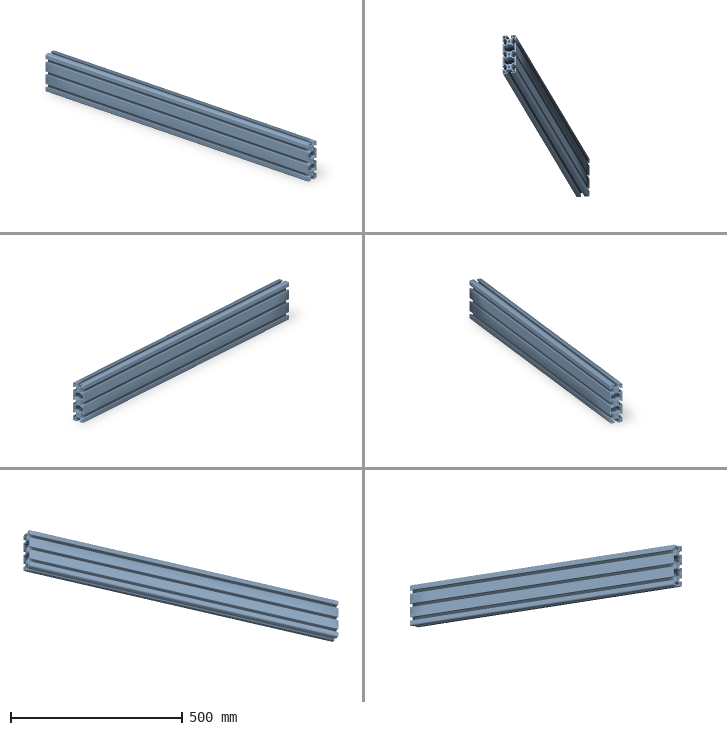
import cadquery as cq

length = 1000.0
module = 40.0
module_count = 3
outer_radius = 4.5

slot_opening = 10.0
slot_inner_width = 20.0
slot_depth = 12.25
lip_thickness = 4.5
lip_nose_width = 1.5
lip_root_thickness = 2.5
lip_radius = 0.5
floor_corner_radius = 1.2
shoulder_radius = 1.0
core_hole_diameter = 6.8

rib_thickness = 3.0
side_wall = 3.4
slot_wall = 2.5
cavity_core_half = 9.0
cavity_core_face_half = 6.0
cavity_rib_run = 4.6
corner_wall = 1.8
corner_hollow_radius = 1.7
corner_hollow_size = 6.7
corner_hollow_bevel = 2.5

half = module / 2
height = module * module_count
core_half = half - slot_depth
opening_half = slot_opening / 2
inner_half = slot_inner_width / 2
rib_offset = rib_thickness / 2 ** 0.5
core_face_half = core_half - rib_offset
shoulder = inner_half + rib_offset
nose_underside = half - lip_thickness
lip_nose_half = opening_half + lip_nose_width
module_centres = [(i - (module_count - 1) / 2) * module for i in range(module_count)]

end_margin = 1.0
selection_band = 0.01
section_plane = cq.Workplane("YZ", origin=(-length / 2 - end_margin, 0, 0))
cut_length = length + 2 * end_margin
x_axis = ((0, 0, 0), (1, 0, 0))


def make_bar():
    bar = cq.Workplane("XY").box(length, module, height)
    return bar.edges("|X").fillet(outer_radius)


def mirror_across(points):
    """The points of a right-hand outline mirrored to the left, in reverse order."""
    return [(-y, z) for y, z in reversed(points)]


def edges_near_height(z):
    """Selector for the edges whose centres lie within a small band about height z."""
    low_corner = (-length, -module, z - selection_band)
    high_corner = (length, module, z + selection_band)
    return cq.selectors.BoxSelector(low_corner, high_corner)


def make_slot():
    """T-slot opening toward +Z, for a module centred on the origin."""
    right_side = [
        (core_face_half, core_half),
        (inner_half, shoulder),
        (inner_half, half - lip_root_thickness),
        (lip_nose_half, nose_underside),
    ]
    outline = right_side + mirror_across(right_side)
    pocket = section_plane.polyline(outline).close().extrude(cut_length)
    pocket = pocket.edges("|X").edges("<Z").fillet(floor_corner_radius)
    pocket = pocket.edges(edges_near_height(shoulder)).fillet(shoulder_radius)

    mouth_edge = opening_half + lip_radius
    round_start = half - lip_radius
    mouth = (
        section_plane.moveTo(-opening_half, nose_underside)
        .lineTo(opening_half, nose_underside)
        .lineTo(opening_half, round_start)
        .radiusArc((mouth_edge, half), lip_radius)
        .lineTo(-mouth_edge, half)
        .radiusArc((-opening_half, round_start), lip_radius)
        .close()
        .extrude(cut_length)
    )
    return pocket.union(mouth)


def make_module_cavity():
    """Hollow between two neighbouring cores, centred midway between them."""
    slot_wall_face = half - inner_half - slot_wall
    upper_right = [
        (cavity_core_face_half, half - cavity_core_half),
        (cavity_core_face_half + cavity_rib_run, slot_wall_face),
        (half - side_wall, slot_wall_face),
    ]
    right_side = upper_right + [(y, -z) for y, z in reversed(upper_right)]
    outline = right_side + mirror_across(right_side)
    return section_plane.polyline(outline).close().extrude(cut_length)


def make_corner_hollow():
    """Hollow in the +Y +Z corner of a module centred on the origin, bevelled toward the core."""
    outer = half - corner_wall
    inner = outer - corner_hollow_size
    bevel_end = inner + corner_hollow_bevel
    arc_start = outer - corner_hollow_radius
    return (
        section_plane.moveTo(arc_start, outer)
        .radiusArc((outer, arc_start), corner_hollow_radius)
        .lineTo(outer, inner)
        .lineTo(bevel_end, inner)
        .lineTo(inner, bevel_end)
        .lineTo(inner, outer)
        .close()
        .extrude(cut_length)
    )


def cut_end_module_features(bar):
    """Slots in the top and bottom faces, and the hollows in the four outer corners."""
    to_top_module = (0, 0, module_centres[-1])
    hollow = make_corner_hollow()
    features = [make_slot(), hollow, hollow.mirror("XZ")]
    for feature in features:
        top_feature = feature.translate(to_top_module)
        bar = bar.cut(top_feature).cut(top_feature.mirror("XY"))
    return bar


def cut_side_slots_and_core_holes(bar):
    slot = make_slot()
    hole = section_plane.circle(core_hole_diameter / 2).extrude(cut_length)
    side_features = [slot.rotate(*x_axis, 90), slot.rotate(*x_axis, -90), hole]
    for centre in module_centres:
        for feature in side_features:
            bar = bar.cut(feature.translate((0, 0, centre)))
    return bar


def cut_module_cavities(bar):
    cavity = make_module_cavity()
    for centre in module_centres[:-1]:
        bar = bar.cut(cavity.translate((0, 0, centre + half)))
    return bar


result = make_bar()
result = cut_end_module_features(result)
result = cut_side_slots_and_core_holes(result)
result = cut_module_cavities(result)